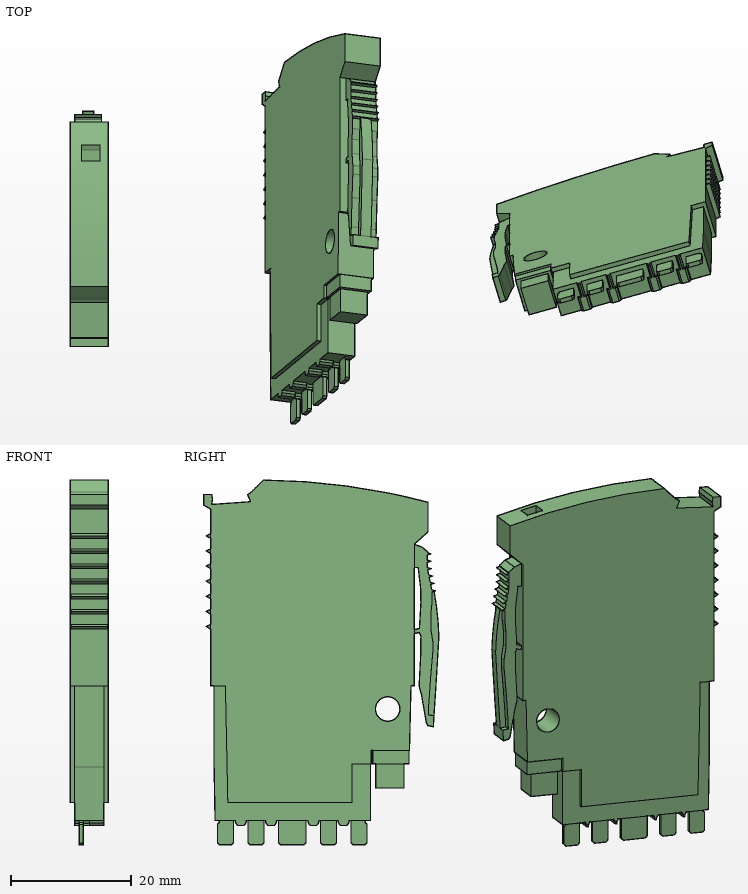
import cadquery as cq


overall_depth = 38.93
overall_height = 60.33
housing_width = 6.3
core_width = 4.8
top_z = 56.33

back_y = 33.7
nose_y = 35.97
nose_bottom_z = 47.75
nose_top_z = 52.65
crown_mid_y = 22.8
crown_mid_z = 55.3
crown_front_y = 8.75
skirt_z = 22.3
skirt_back_top_y = 33.15
skirt_back_bottom_y = 32.9
ledge_z = 11.63
ledge_front_y = 26.6
cover_corner_z = 9.4
cover_back_y = 23.4
cover_bottom_z = 3.0
cover_front_bottom_y = 2.85
cover_front_top_y = 2.45

catch_y = 6.7
catch_z = 54.3
catch_tip_y = 6.1
catch_tip_z = 53.9
shelf_back_y = 6.6
shelf_back_z = 52.75
shelf_front_z = 52.3
lip_inner_y = 0.2
lip_outer_y = -1.17
lip_top_z = 53.95
lip_bottom_z = 52.15
lip_root_z = 51.5
lip_bead_height = 0.15

grip_count = 7
grip_top_z = 47.1
grip_pitch = 2.5
grip_reach = 0.75
grip_above = 0.35
grip_below = 0.45
grip_side_inset = 0.1
grip_width = housing_width - 2 * grip_side_inset

core_back_y = 26.45
core_front_y = 0.56
core_front_bottom_y = 0.72
core_taper_z = 8.9

pin_row_y = 13.5
pin_inner_offset = 6.0
pin_outer_offset = 11.03
pin_width = 2.7
centre_pin_width = 4.55
pin_bottom_z = top_z - overall_height
pin_x = -1.31
pin_thickness = 0.7
pin_chamfer = 0.35
pin_overlap = 0.5
pin_shoulder = 0.3
stud_offsets = (3.5, 8.5)
stud_height = 0.8
stud_top_half = 0.95
stud_middle_half = 0.85
stud_bottom_half = 0.55
stud_middle_drop = 0.4
key_top_half = 0.4
key_stem_half = 0.15
key_stem_drop = 0.45

pad_width = 5.6
foot_back_y = 32.83
foot_front_y = 26.8
post_back_y = 32.0
post_front_y = 27.3
post_bottom_z = 5.4

hole_y = 29.28
hole_z = 18.46
hole_diameter = 4.0

window_left_x = -1.3
window_right_x = 1.77
window_back_y = 32.2
window_front_y = 29.55
window_floor_z = 50.5
window_ramp_length = 0.9
window_ramp_rise = 0.25
window_clear_z = top_z + 1.0

lever_left_x = -2.4
lever_right_x = 2.05
spine_left_x = -1.1
spine_right_x = 0.75
root_z = 45.7
neck_point = (34.95, 45.25)
shoulder_y = 35.95
shoulder_z = 44.4
comb_upper_y = 35.85
comb_bend_z = 41.8
comb_lower_y = 36.6
comb_bottom_z = 38.0
tooth_count = 6
tooth_top_z = 44.1
tooth_reach = 0.62
tooth_half_height = 0.28
toe_top_z = 17.5
toe_y = 36.95
toe_root_y = 36.0
toe_bottom_z = 15.5
toe_tip_y = 36.85
heel_points = [(35.9, 15.7), (35.65, 16.2)]
spine_bottom_z = 17.35
spine_top_y = 36.95
spine_crest_y = lip_outer_y + overall_depth
spine_crest_z = 30.5
spine_upper_mid = (37.5, 34.3)
spine_lower_mid = (37.38, 24.0)
web_top_z = 31.8
web_bottom_z = 31.1
web_lever_y = 34.5
web_fall = 0.2
gap_top_y = 34.3
gap_top_z = 41.85

waist_points = [
    (36.6, 36.0),
    (36.4, 34.2),
    (36.4, 31.7),
    (36.75, 29.5),
    (36.75, 28.0),
    (36.4, 24.0),
    (36.05, 19.0),
]
lower_gap_points = [(34.85, 20.8), (34.45, 22.3), (34.7, 27.0), (34.75, 30.5)]
upper_gap_points = [(34.75, 36.0), (34.7, 38.5)]


def side_plate(points, left_x, right_x):
    """Extrude a closed (y, z) polygon from left_x to right_x."""
    profile = cq.Workplane("YZ", origin=(left_x, 0, 0)).polyline(points).close()
    return profile.extrude(right_x - left_x)


def centred_plate(points, width):
    return side_plate(points, -width / 2, width / 2)


def block(left_x, right_x, front, back, bottom, top):
    corners = [(front, bottom), (back, bottom), (back, top), (front, top)]
    return side_plate(corners, left_x, right_x)


def make_housing():
    lip_bead_z = (lip_top_z + shelf_front_z) / 2
    return (
        cq.Workplane("YZ", origin=(-housing_width / 2, 0, 0))
        .moveTo(nose_y, nose_top_z)
        .threePointArc((crown_mid_y, crown_mid_z), (crown_front_y, top_z))
        .lineTo(catch_y, catch_z)
        .lineTo(catch_tip_y, catch_tip_z)
        .lineTo(shelf_back_y, shelf_back_z)
        .lineTo(lip_inner_y, shelf_front_z)
        .lineTo(lip_inner_y + lip_bead_height, lip_bead_z)
        .lineTo(lip_inner_y, lip_top_z)
        .lineTo(lip_outer_y, lip_top_z)
        .lineTo(lip_outer_y, lip_bottom_z)
        .lineTo(0, lip_root_z)
        .lineTo(0, skirt_z)
        .lineTo(cover_front_top_y, skirt_z)
        .lineTo(cover_front_bottom_y, cover_bottom_z)
        .lineTo(cover_back_y, cover_bottom_z)
        .lineTo(cover_back_y, cover_corner_z)
        .lineTo(ledge_front_y, cover_corner_z)
        .lineTo(ledge_front_y, ledge_z)
        .lineTo(skirt_back_bottom_y, ledge_z)
        .lineTo(skirt_back_top_y, skirt_z)
        .lineTo(back_y, skirt_z)
        .lineTo(back_y, root_z)
        .lineTo(nose_y, nose_bottom_z)
        .close()
        .extrude(housing_width)
    )


def make_core():
    outline = [
        (core_back_y, 0),
        (core_front_bottom_y, 0),
        (core_front_y, core_taper_z),
        (core_front_y, skirt_z),
        (core_back_y, skirt_z),
    ]
    return centred_plate(outline, core_width)


def make_grip_rib(z):
    outline = [(0, z + grip_above), (-grip_reach, z), (0, z - grip_below)]
    return centred_plate(outline, grip_width)


def make_pin(y, width):
    left_x = pin_x - pin_thickness / 2
    pin = block(
        left_x, left_x + pin_thickness, y - width / 2, y + width / 2, pin_bottom_z, pin_overlap
    )
    return pin.faces("<Z").edges("|X").chamfer(pin_chamfer)


def make_pin_row():
    """Five blades; the two outermost have their outer top corners cut back."""
    pins = make_pin(pin_row_y, centre_pin_width)
    for side in (-1, 1):
        pins = pins.union(make_pin(pin_row_y + side * pin_inner_offset, pin_width))
        outer_y = pin_row_y + side * pin_outer_offset
        corner_y = outer_y + side * pin_width / 2
        corner_cut = centred_plate(
            [
                (corner_y, -2 * pin_shoulder),
                (corner_y, pin_overlap),
                (corner_y - side * pin_shoulder, pin_overlap),
                (corner_y - side * pin_shoulder, -pin_shoulder),
            ],
            core_width,
        )
        pins = pins.union(make_pin(outer_y, pin_width).cut(corner_cut))
    return pins


def make_stud(y):
    """Coding stud: a narrow key on the left half, a wide stub on the right half."""

    def stub(top_half, middle_half, bottom_half, middle_drop):
        return [
            (y - top_half, 0),
            (y + top_half, 0),
            (y + middle_half, -middle_drop),
            (y + bottom_half, -stud_height),
            (y - bottom_half, -stud_height),
            (y - middle_half, -middle_drop),
        ]

    key = stub(key_top_half, key_stem_half, key_stem_half, key_stem_drop)
    boss = stub(stud_top_half, stud_middle_half, stud_bottom_half, stud_middle_drop)
    half_width = core_width / 2
    return side_plate(key, -half_width, 0).union(side_plate(boss, 0, half_width))


def make_foot():
    half = core_width / 2
    pad = block(-pad_width / 2, pad_width / 2, foot_front_y, foot_back_y, cover_corner_z, ledge_z)
    post = block(-half, half, post_front_y, post_back_y, post_bottom_z, cover_corner_z)
    return pad.union(post)


def make_window():
    """Blind pocket with a short rising ramp at the rear of its floor."""
    outline = [
        (window_front_y, window_clear_z),
        (window_back_y, window_clear_z),
        (window_back_y, window_floor_z + window_ramp_rise),
        (window_back_y - window_ramp_length, window_floor_z),
        (window_front_y, window_floor_z),
    ]
    return side_plate(outline, window_left_x, window_right_x)


def comb_y(z):
    """Y of the toothed lever flank at height z."""
    if z >= comb_bend_z:
        return comb_upper_y
    slope = (comb_lower_y - comb_upper_y) / (comb_bend_z - comb_bottom_z)
    return comb_upper_y + slope * (comb_bend_z - z)


def make_lever_plate():
    outer_flank = [
        (back_y, root_z),
        neck_point,
        (shoulder_y, shoulder_z),
        (comb_upper_y, tooth_top_z),
        (comb_upper_y, comb_bend_z),
        (comb_lower_y, comb_bottom_z),
        *waist_points,
        (toe_root_y, toe_top_z),
    ]
    toe = [(toe_y, spine_bottom_z), (toe_tip_y, toe_bottom_z), *heel_points]
    inner_flank = [
        *lower_gap_points,
        (web_lever_y, web_bottom_z),
        (back_y, web_bottom_z - web_fall),
        (back_y, web_top_z - web_fall),
        (web_lever_y, web_top_z),
        *upper_gap_points,
        (gap_top_y, gap_top_z),
        (back_y, gap_top_z),
    ]
    return side_plate(outer_flank + toe + inner_flank, lever_left_x, lever_right_x)


def make_tooth(z):
    root_y = comb_y(z)
    outline = [
        (root_y - tooth_half_height, z + tooth_half_height),
        (root_y + tooth_reach, z),
        (root_y - tooth_half_height, z - tooth_half_height),
    ]
    return side_plate(outline, lever_left_x, lever_right_x)


def make_spine():
    """Narrow bowed rib along the back of the lever."""
    return (
        cq.Workplane("YZ", origin=(spine_left_x, 0, 0))
        .moveTo(spine_top_y, comb_bottom_z)
        .threePointArc(spine_upper_mid, (spine_crest_y, spine_crest_z))
        .threePointArc(spine_lower_mid, (toe_y, spine_bottom_z))
        .lineTo(toe_root_y, spine_bottom_z)
        .lineTo(toe_root_y, comb_bottom_z)
        .close()
        .extrude(spine_right_x - spine_left_x)
    )


def make_lever():
    lever = make_lever_plate().union(make_spine())
    tooth_pitch = (tooth_top_z - comb_bottom_z) / (tooth_count - 1)
    for index in range(tooth_count):
        lever = lever.union(make_tooth(tooth_top_z - index * tooth_pitch))
    return lever


body = make_housing().cut(make_window())
body = body.union(make_core()).union(make_foot())

for index in range(grip_count):
    body = body.union(make_grip_rib(grip_top_z - index * grip_pitch))

for offset in stud_offsets:
    for side in (-1, 1):
        body = body.union(make_stud(pin_row_y + side * offset))

body = body.union(make_pin_row()).union(make_lever())

cross_hole = (
    cq.Workplane("YZ", origin=(-housing_width / 2, 0, 0))
    .center(hole_y, hole_z)
    .circle(hole_diameter / 2)
    .extrude(housing_width)
)
result = body.cut(cross_hole)